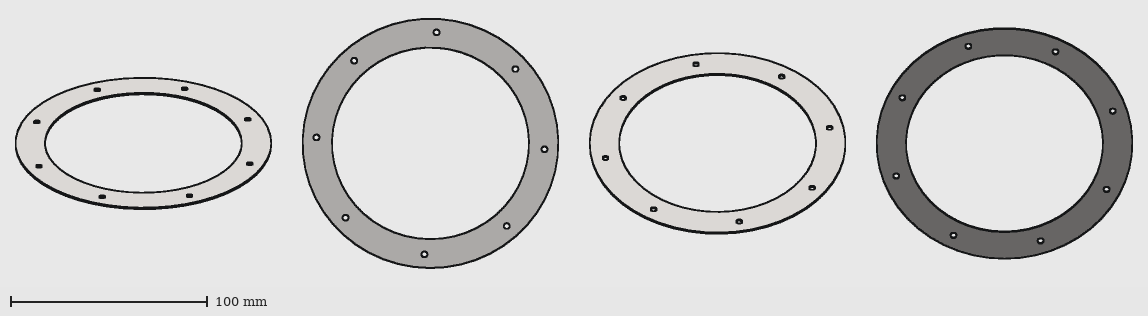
import cadquery as cq

outer_diameter = 130.0
inner_diameter = 100.0
thickness = 1.0

hole_diameter = 3.0
hole_count = 8
hole_circle_diameter = 116.0

ring = (
    cq.Workplane("XY")
    .circle(outer_diameter / 2)
    .circle(inner_diameter / 2)
    .extrude(thickness)
)

bolt_holes = (
    cq.Workplane("XY")
    .polarArray(hole_circle_diameter / 2, 0, 360, hole_count)
    .circle(hole_diameter / 2)
    .extrude(thickness)
)

result = ring.cut(bolt_holes)